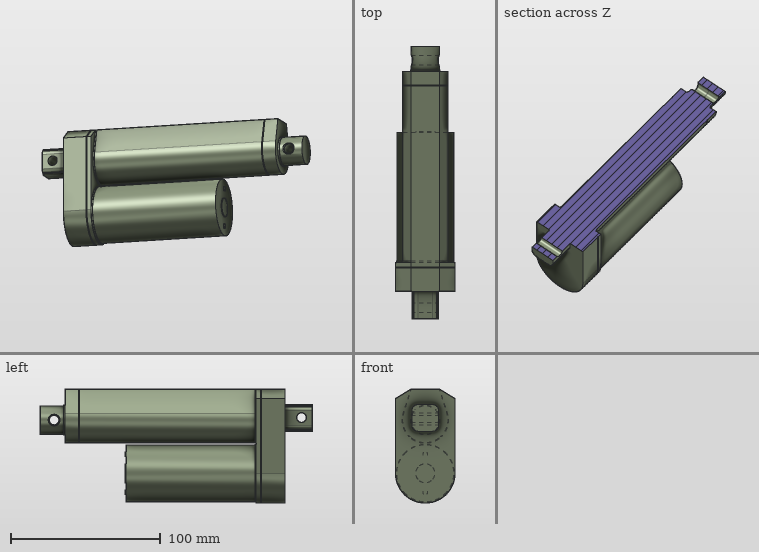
import cadquery as cq
import math


OVERALL_LENGTH = 181.94
GEARBOX_FRONT = 18.25
GEARBOX_BACK = 37.55
LIP_END = 38.5
TUBE_END = 165.2
MOTOR_END = 124.5

GEARBOX_WIDTH = 39.88
GEARBOX_HEIGHT = 76.2
TOP_FLAT_WIDTH = 19.05
SHOULDER_DROP = 6.35

SEAM_WIDTH = 0.635
SEAM_DEPTH = 0.13
GEARBOX_SEAM = 34.4
TUBE_SEAM = 155.8

MOTOR_DIAMETER = 38.1
MOTOR_LIP_DIAMETER = 38.61
MOTOR_AXIS_Z = GEARBOX_WIDTH / 2
BEARING_BOSS_DIAMETER = 12.7
TERMINAL_DIAMETER = 3.17
TERMINAL_OFFSET = 12.7
MOTOR_BOSS_HEIGHT = 0.6

TUBE_RADIUS = 15.24
TUBE_LIP_RADIUS = TUBE_RADIUS + (MOTOR_LIP_DIAMETER - MOTOR_DIAMETER) / 2
ROD_AXIS_Z = GEARBOX_HEIGHT - 20.7

ROD_DIAMETER = 19.05
COLLAR_DIAMETER = 19.81
COLLAR_LENGTH = 1.1
CROSS_HOLE_DIAMETER = 6.35
ROD_HOLE_FROM_END = 9.4
ROD_HOLE_CHAMFER = 0.75

LUG_WIDTH = 18.0
LUG_HEIGHT = 17.8
LUG_CORNER_RADIUS = 4.0
LUG_GROOVE_WIDTH = 0.8
LUG_GROOVE_DEPTH = 0.13
LUG_AXIS_Z = GEARBOX_HEIGHT - 19.3
LUG_HOLE_FROM_TIP = 7.3
LUG_HOLE_Z = GEARBOX_HEIGHT - 19.05

OVERLAP = 1.0


def section_at(y):
    """Workplane at station y, local x along X, local y along Z, extruding toward +Y."""
    return cq.Workplane("XZ", origin=(0, y, 0))


def extrude_between(sketch, y_start, y_end):
    """Extrude a sketch drawn at y_start up to y_end."""
    return sketch.extrude(-(y_end - y_start))


def cylinder_y(diameter, z, y_start, y_end):
    sketch = section_at(y_start).center(0, z).circle(diameter / 2)
    return extrude_between(sketch, y_start, y_end)


def cross_hole(y, z):
    """Cutter for a hole running right through along X."""
    sketch = cq.Workplane("YZ", origin=(0, y, z)).circle(CROSS_HOLE_DIAMETER / 2)
    return sketch.extrude(GEARBOX_WIDTH / 2, both=True)


def gearbox_outline(y):
    """Flat top, two sloped shoulders, straight sides and a round bottom."""
    half_width = GEARBOX_WIDTH / 2
    half_flat = TOP_FLAT_WIDTH / 2
    shoulder_z = GEARBOX_HEIGHT - SHOULDER_DROP
    return (
        section_at(y)
        .moveTo(-half_flat, GEARBOX_HEIGHT)
        .lineTo(half_flat, GEARBOX_HEIGHT)
        .lineTo(half_width, shoulder_z)
        .lineTo(half_width, MOTOR_AXIS_Z)
        .threePointArc((0, 0), (-half_width, MOTOR_AXIS_Z))
        .lineTo(-half_width, shoulder_z)
        .close()
    )


def tube_outline(y, radius=TUBE_RADIUS):
    """Flat top whose sloped sides run tangent into a round bottom about the rod axis."""
    half_flat = TOP_FLAT_WIDTH / 2
    top_height = GEARBOX_HEIGHT - ROD_AXIS_Z
    corner_angle = math.atan2(half_flat, top_height)
    tangent_angle = corner_angle + math.acos(radius / math.hypot(half_flat, top_height))
    tangent_x = radius * math.sin(tangent_angle)
    tangent_z = ROD_AXIS_Z + radius * math.cos(tangent_angle)
    return (
        section_at(y)
        .moveTo(-half_flat, GEARBOX_HEIGHT)
        .lineTo(half_flat, GEARBOX_HEIGHT)
        .lineTo(tangent_x, tangent_z)
        .threePointArc((0, ROD_AXIS_Z - radius), (-tangent_x, tangent_z))
        .close()
    )


def cut_seam(body, outline, seam_y):
    """Cut a shallow groove around a body along its outline at a seam."""
    start = seam_y - SEAM_WIDTH / 2
    end = seam_y + SEAM_WIDTH / 2
    outer = extrude_between(outline(start), start, end)
    core = extrude_between(outline(start).offset2D(-SEAM_DEPTH, "intersection"), start, end)
    return body.cut(outer.cut(core))


def make_gearbox():
    body = extrude_between(gearbox_outline(GEARBOX_FRONT), GEARBOX_FRONT, GEARBOX_BACK)
    return cut_seam(body, gearbox_outline, GEARBOX_SEAM)


def make_tube():
    start = GEARBOX_BACK - OVERLAP
    body = extrude_between(tube_outline(start), start, TUBE_END)
    lip = extrude_between(tube_outline(start, TUBE_LIP_RADIUS), start, LIP_END)
    return cut_seam(body.union(lip), tube_outline, TUBE_SEAM)


def make_rod():
    hole_y = OVERALL_LENGTH - ROD_HOLE_FROM_END
    start = TUBE_END - OVERLAP
    rod = cylinder_y(ROD_DIAMETER, ROD_AXIS_Z, start, OVERALL_LENGTH)
    rod = rod.cut(cross_hole(hole_y, ROD_AXIS_Z))
    hole_zone = cq.selectors.BoxSelector(
        (-ROD_DIAMETER, hole_y - CROSS_HOLE_DIAMETER, ROD_AXIS_Z - CROSS_HOLE_DIAMETER),
        (ROD_DIAMETER, hole_y + CROSS_HOLE_DIAMETER, ROD_AXIS_Z + CROSS_HOLE_DIAMETER),
    )
    rod = rod.edges(hole_zone).chamfer(ROD_HOLE_CHAMFER)
    collar = cylinder_y(COLLAR_DIAMETER, ROD_AXIS_Z, start, TUBE_END + COLLAR_LENGTH)
    return rod.union(collar)


def make_lug():
    end = GEARBOX_FRONT + OVERLAP
    block = extrude_between(section_at(0).center(0, LUG_AXIS_Z).rect(LUG_WIDTH, LUG_HEIGHT), 0, end)
    block = block.edges("|Y").fillet(LUG_CORNER_RADIUS)
    groove_reach = LUG_CORNER_RADIUS - LUG_GROOVE_DEPTH
    for side_x in (-1, 1):
        for side_z in (-1, 1):
            corner_x = side_x * (LUG_WIDTH / 2 - LUG_CORNER_RADIUS)
            corner_z = LUG_AXIS_Z + side_z * (LUG_HEIGHT / 2 - LUG_CORNER_RADIUS)
            cutter = (
                cq.Workplane("XY")
                .box(OVERLAP, GEARBOX_FRONT, LUG_GROOVE_WIDTH, centered=(False, False, True))
                .translate((groove_reach, 0, 0))
                .rotate((0, 0, 0), (0, 1, 0), -math.degrees(math.atan2(side_z, side_x)))
                .translate((corner_x, 0, corner_z))
            )
            block = block.cut(cutter)
    return block.cut(cross_hole(LUG_HOLE_FROM_TIP, LUG_HOLE_Z))


def make_motor():
    start = GEARBOX_BACK - OVERLAP
    motor = cylinder_y(MOTOR_DIAMETER, MOTOR_AXIS_Z, start, MOTOR_END)
    motor = motor.union(cylinder_y(MOTOR_LIP_DIAMETER, MOTOR_AXIS_Z, start, LIP_END))
    boss_start = MOTOR_END - OVERLAP
    boss_end = MOTOR_END + MOTOR_BOSS_HEIGHT
    motor = motor.union(cylinder_y(BEARING_BOSS_DIAMETER, MOTOR_AXIS_Z, boss_start, boss_end))
    for offset in (-TERMINAL_OFFSET, TERMINAL_OFFSET):
        motor = motor.union(cylinder_y(TERMINAL_DIAMETER, MOTOR_AXIS_Z + offset, boss_start, boss_end))
    return motor


result = make_gearbox().union(make_tube()).union(make_motor()).union(make_rod()).union(make_lug())